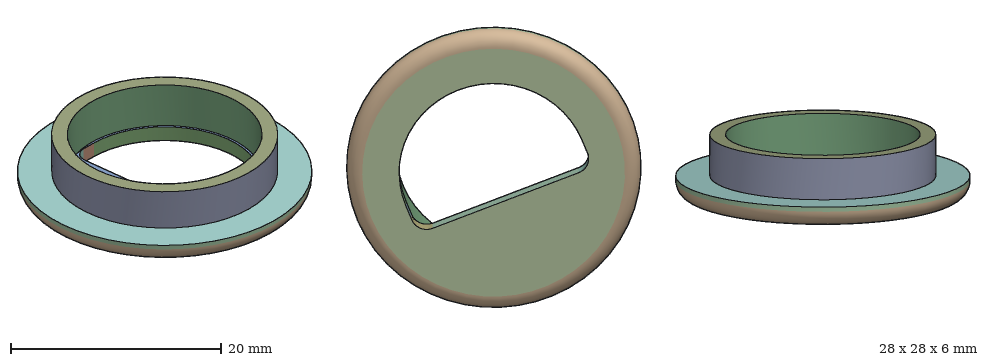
import cadquery as cq

flange_diameter = 28.0
flange_thickness = 2.0
flange_edge_radius = 1.5

total_height = 6.0
collar_diameter = 21.5
bore_diameter = 18.5
floor_thickness = 1.5

window_width = 18.0
window_flat_y = -3.0
window_corner_radius = 1.5


def make_flange():
    """Disc with a rounded lower rim."""
    disc = cq.Workplane("XY").circle(flange_diameter / 2).extrude(flange_thickness)
    return disc.faces("<Z").edges().fillet(flange_edge_radius)


def make_collar():
    """Solid cylinder that carries the bore."""
    return cq.Workplane("XY").workplane(offset=floor_thickness).circle(
        collar_diameter / 2
    ).extrude(total_height - floor_thickness)


def make_bore():
    """Blind bore from the top of the collar down to the floor."""
    return cq.Workplane("XY").workplane(offset=floor_thickness).circle(
        bore_diameter / 2
    ).extrude(total_height - floor_thickness)


def make_window():
    """Half circle extended by straight sides to a flat with rounded corners."""
    half_width = window_width / 2
    window = (
        cq.Workplane("XY")
        .moveTo(-half_width, window_flat_y)
        .lineTo(half_width, window_flat_y)
        .lineTo(half_width, 0)
        .threePointArc((0, half_width), (-half_width, 0))
        .close()
        .extrude(floor_thickness)
    )
    return window.edges("|Z and <Y").fillet(window_corner_radius)


result = make_flange().union(make_collar()).cut(make_bore()).cut(make_window())